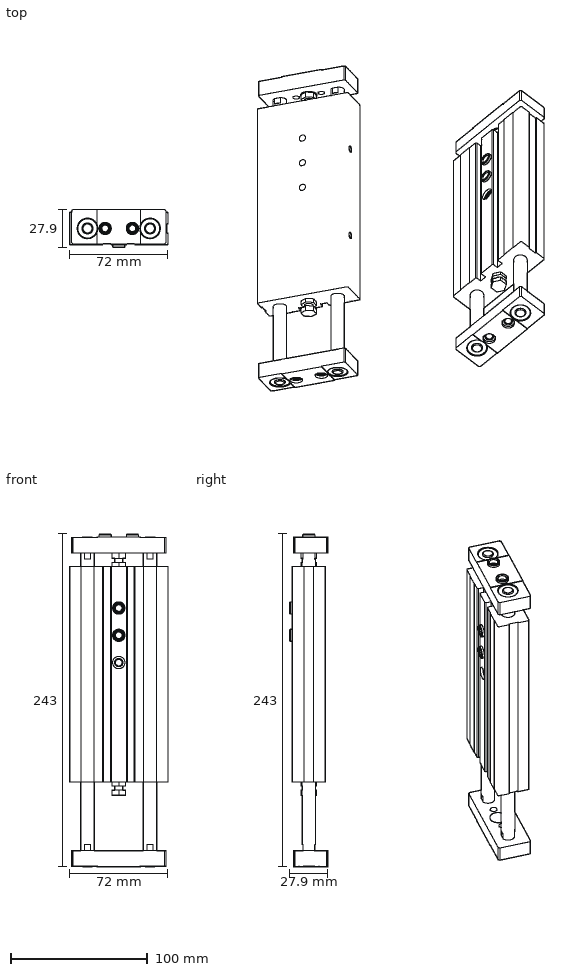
import cadquery as cq
import math


rod_diameter = 10.0
rod_x = 22.8
stub_diameter = 8.0
sleeve_diameter = 9.0
sleeve_bore = 6.0
sleeve_projection = 2.0
sleeve_seat = 2.0
sleeve_pitch = 20.0

total_height = 243
plate_thickness = 12.0
housing_bottom = 62.0
housing_height = 157.5
housing_top = housing_bottom + housing_height
housing_middle = housing_bottom + housing_height / 2
lower_plate_outer = 0
upper_plate_outer = total_height - sleeve_projection
lower_plate_inner = lower_plate_outer + plate_thickness
upper_plate_inner = upper_plate_outer - plate_thickness

housing_width = 72.0
housing_depth = 24.0
housing_edge = 1.0
strip_width = 9.5
strip_height = 0.2
front_face = -housing_depth / 2
slot_x = 8.7
slot_width = 5.0
slot_depth = 4.5
slot_chamfer = 0.7
side_groove_width = 6.8
side_groove_depth = 0.7

fixing_hole_diameter = 4.9
fixing_countersink = (sleeve_bore - fixing_hole_diameter) / 2
top_mount_z = 189.0
mount_count = 3
sleeved_mounts = 2
port_diameter = 4.1
port_mouth = 4.9
port_depth = 6.0
port_y = 7.0
port_offset = 35.0
drill_angle = 118

plate_width = 69.0
plate_depth = 25.0
plate_back = 13.9
plate_y = plate_back - plate_depth / 2
plate_edge = 1.0
pad_width = 31.5
pad_height = 0.5
recess_mouth = 15.0
recess_floor = 14.0
recess_depth = (recess_mouth - recess_floor) / 2
stop_recess_diameter = 12.0
stop_recess_depth = 0.2

stub_chamfer = 0.7
stub_height = 0.85
flat_width = 4.5
flat_length = 4.4

screw_diameter = 6.0
screw_insertion = 9.7
screw_projection = 9.7
hex_across_flats = 10.0
head_height = 4.0
nut_height = 3.0

sleeve_inner_chamfer = 0.7
sleeve_outer_chamfer = 0.5


def cylinder(diameter, start, end, x=0):
    """Cylinder along Z between two heights."""
    return cq.Workplane("XY", origin=(x, 0, start)).circle(diameter / 2).extrude(end - start)


def turned(outline):
    """Solid of revolution about Z from (radius, height) points."""
    return cq.Workplane("XZ").polyline(outline).close().revolve(360, (0, 0, 0), (0, 1, 0))


def facing_front(part, z):
    """Turn a part made along +Z to face -Y, with its origin on the front face of the housing."""
    return part.rotate((0, 0, 0), (1, 0, 0), 90).translate((0, front_face, z))


def mount_heights():
    return [top_mount_z - i * sleeve_pitch for i in range(mount_count)]


def sensor_slot(x):
    """Straight slot with a chamfered mouth in the front face."""
    inner = slot_width / 2
    outer = inner + slot_chamfer
    half = [
        (outer, front_face),
        (inner, front_face + slot_chamfer),
        (inner, front_face + slot_depth),
    ]
    outline = half + [(-px, py) for px, py in reversed(half)]
    return (
        cq.Workplane("XY", origin=(x, 0, housing_bottom)).polyline(outline).close().extrude(housing_height)
    )


def fixing_hole(length):
    """Cutter for a sleeve hole along Z: it runs from the mouth at Z = 0 down to -length.

    Below the counterbore for the sleeve, the through hole is countersunk to the sleeve bore.
    """
    outline = [
        (0, 0),
        (sleeve_diameter / 2, 0),
        (sleeve_diameter / 2, -sleeve_seat),
        (sleeve_bore / 2, -sleeve_seat),
        (fixing_hole_diameter / 2, -sleeve_seat - fixing_countersink),
        (fixing_hole_diameter / 2, -length),
        (0, -length),
    ]
    return turned(outline)


def side_port(z):
    """Blind air port in the -X side, with a chamfered mouth and a drill-point end."""
    radius = port_diameter / 2
    mouth = port_mouth / 2
    tip = radius / math.tan(math.radians(drill_angle / 2))
    outline = [
        (0, 0),
        (0, mouth),
        (mouth - radius, radius),
        (port_depth, radius),
        (port_depth + tip, 0),
    ]
    return (
        cq.Workplane("XY", origin=(-housing_width / 2, port_y, z))
        .polyline(outline)
        .close()
        .revolve(360, (0, 0, 0), (1, 0, 0))
    )


def make_housing():
    body = (
        cq.Workplane("XY", origin=(0, 0, housing_middle))
        .box(housing_width, housing_depth, housing_height)
        .edges("|Z")
        .fillet(housing_edge)
    )
    for x in (-rod_x, rod_x):
        strip = cq.Workplane("XY", origin=(x, front_face, housing_middle)).box(
            strip_width, 2 * strip_height, housing_height
        )
        body = body.union(strip)
    for x in (-slot_x, slot_x):
        body = body.cut(sensor_slot(x))
    groove = cq.Workplane("XY", origin=(housing_width / 2, 0, housing_middle)).box(
        2 * side_groove_depth, side_groove_width, housing_height
    )
    body = body.cut(groove)
    for x in (-rod_x, rod_x):
        body = body.cut(cylinder(rod_diameter, housing_bottom, housing_top, x))
    body = body.cut(cylinder(screw_diameter, housing_bottom, housing_bottom + screw_insertion))
    body = body.cut(cylinder(screw_diameter, housing_top - screw_insertion, housing_top))
    for z in mount_heights():
        body = body.cut(facing_front(fixing_hole(housing_depth), z))
    for offset in (-port_offset, port_offset):
        body = body.cut(side_port(housing_middle + offset))
    return body


def rod_end_recess():
    """Cutter for the tapered recess round a rod stub, with the recess mouth at Z = 0."""
    stub_top = stub_height - recess_depth
    outline = [
        (stub_diameter / 2, -recess_depth),
        (recess_floor / 2, -recess_depth),
        (recess_mouth / 2, 0),
        (recess_mouth / 2, pad_height),
        (0, pad_height),
        (0, stub_top),
        (stub_diameter / 2 - stub_chamfer, stub_top),
        (stub_diameter / 2, stub_top - stub_chamfer),
    ]
    return turned(outline)


def make_plate():
    """End plate with its outer face up, the top of the pad at Z = 0."""
    plate = (
        cq.Workplane("XY", origin=(0, plate_y, -plate_thickness / 2))
        .box(plate_width, plate_depth, plate_thickness)
        .edges("|Z")
        .chamfer(plate_edge)
    )
    step_width = (plate_width - pad_width) / 2
    step_x = (pad_width + step_width) / 2
    for x in (-step_x, step_x):
        step = cq.Workplane("XY", origin=(x, plate_y, 0)).box(step_width, plate_depth, 2 * pad_height)
        for rod in (-rod_x, rod_x):
            step = step.cut(cylinder(stub_diameter, -pad_height, pad_height, rod))
        plate = plate.cut(step)
    for x in (-rod_x, rod_x):
        plate = plate.cut(rod_end_recess().translate((x, 0, -pad_height)))
    for x in (-sleeve_pitch / 2, sleeve_pitch / 2):
        plate = plate.cut(fixing_hole(plate_thickness).translate((x, 0, 0)))
    stop_recess = cylinder(stop_recess_diameter, -plate_thickness, stop_recess_depth - plate_thickness)
    return plate.cut(stop_recess)


def make_rod(x):
    """Guide rod with a flat on its front and back at each end, next to the plates."""
    rod = cylinder(rod_diameter, lower_plate_inner, upper_plate_inner, x)
    flat_y = math.sqrt(rod_diameter**2 - flat_width**2) / 2
    for z in (lower_plate_inner + flat_length / 2, upper_plate_inner - flat_length / 2):
        for y in (-flat_y - rod_diameter / 2, flat_y + rod_diameter / 2):
            rod = rod.cut(cq.Workplane("XY", origin=(x, y, z)).box(rod_diameter, rod_diameter, flat_length))
    return rod


def make_yoke():
    """Both end plates and both guide rods in one piece."""
    plate = make_plate()
    yoke = plate.translate((0, 0, upper_plate_outer))
    yoke = yoke.union(plate.mirror("XY").translate((0, 0, lower_plate_outer)))
    for x in (-rod_x, rod_x):
        yoke = yoke.union(make_rod(x))
    return yoke


def hexagon(start, height):
    """Hexagonal prism along Z with flats facing -X and +X."""
    across_corners = hex_across_flats / math.cos(math.pi / 6)
    return (
        cq.Workplane("XY", origin=(0, 0, start))
        .transformed(rotate=(0, 0, 90))
        .polygon(6, across_corners)
        .extrude(height)
    )


def make_screw():
    """Stop screw pointing up, with the housing face at Z = 0."""
    shank = cylinder(screw_diameter, -screw_insertion, screw_projection - head_height)
    return shank.union(hexagon(screw_projection - head_height, head_height))


def make_nut():
    """Lock nut of a stop screw, seated on the housing face at Z = 0."""
    return hexagon(0, nut_height).cut(cylinder(screw_diameter, 0, nut_height))


def on_both_ends(part):
    """Copies of a part on the upper and lower end faces of the housing."""
    return [
        part.translate((0, 0, housing_top)),
        part.mirror("XY").translate((0, 0, housing_bottom)),
    ]


def make_sleeve():
    """Centring sleeve along Z with a bevelled lip, seated in a face at Z = 0."""
    outer = sleeve_diameter / 2
    inner = sleeve_bore / 2
    outline = [
        (inner, -sleeve_seat),
        (outer, -sleeve_seat),
        (outer, sleeve_projection - sleeve_outer_chamfer),
        (outer - sleeve_outer_chamfer, sleeve_projection),
        (inner + sleeve_inner_chamfer, sleeve_projection),
        (inner, sleeve_projection - sleeve_inner_chamfer),
    ]
    return turned(outline)


def make_sleeves():
    sleeve = make_sleeve()
    placed = []
    for x in (-sleeve_pitch / 2, sleeve_pitch / 2):
        placed.append(sleeve.translate((x, 0, upper_plate_outer)))
    for z in mount_heights()[:sleeved_mounts]:
        placed.append(facing_front(sleeve, z))
    return placed


housing = make_housing()
yoke = make_yoke()
screws = on_both_ends(make_screw())
nuts = on_both_ends(make_nut())
sleeves = make_sleeves()

bodies = [housing, yoke, *screws, *nuts, *sleeves]
result = cq.Compound.makeCompound([body.val() for body in bodies])